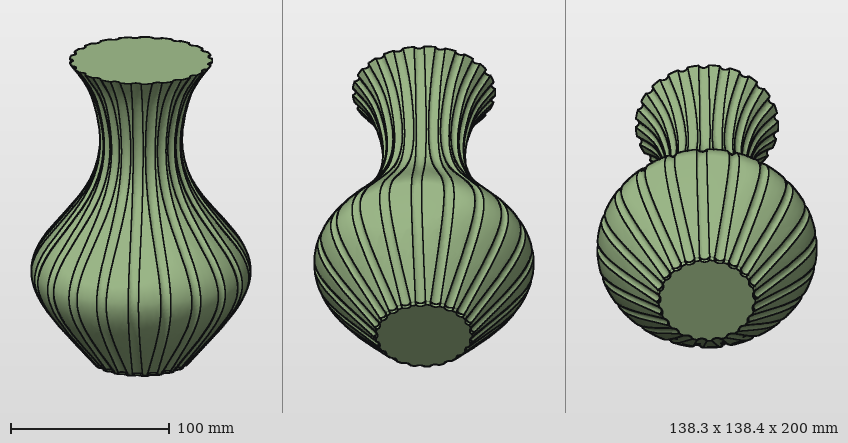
import cadquery as cq
import math

height = 200.0
foot_height = 1.8

base_radius = 30.5
wall_lean = math.radians(39.5)
rim_lean = math.radians(38.0)
foot_radius = base_radius + foot_height * math.tan(wall_lean)
lower_belly_radius = 55.0
lower_belly_height = 29.5
belly_radius = 69.2
belly_height = 59.2
shoulder_radius = 45.2
shoulder_height = 100.0
lower_neck_radius = 31.2
lower_neck_height = 122.0
neck_radius = 26.0
neck_height = 148.0
upper_neck_radius = 30.5
upper_neck_height = 174.0
rim_radius = 45.0

groove_count = 21
groove_radius = 4.2
groove_depth = 1.5
groove_overrun = 6.0
foot_groove_lean = math.radians(22.0)
foot_groove_depth = groove_depth * math.cos(foot_groove_lean) / math.cos(wall_lean)


def lean_direction(lean):
    return (math.sin(lean), math.cos(lean))


def draw_wall(outline):
    """Continue an XZ outline from its current point, at or below the foot's top, up to the rim."""
    stations = [
        (lower_belly_radius, lower_belly_height),
        (belly_radius, belly_height),
        (shoulder_radius, shoulder_height),
        (lower_neck_radius, lower_neck_height),
        (neck_radius, neck_height),
        (upper_neck_radius, upper_neck_height),
        (rim_radius, height),
    ]
    end_directions = [lean_direction(wall_lean), lean_direction(rim_lean)]
    return outline.spline(stations, tangents=end_directions, includeCurrent=True)


def groove_section(radius, level, lean, depth):
    """Circle square to a groove that starts at the given point of the wall."""
    across, along = lean_direction(lean)
    axis_offset = groove_radius - depth
    origin = (radius + axis_offset * along, 0, level - axis_offset * across)
    plane = cq.Plane(origin=origin, xDir=(0, 1, 0), normal=(across, 0, along))
    return cq.Workplane(plane).circle(groove_radius)


def cut_grooves(body, cutter):
    """Cut equally spaced copies of one groove, the first on the +X side."""
    step = 360 / groove_count
    cutters = [cutter.rotate((0, 0, 0), (0, 0, 1), index * step).val() for index in range(groove_count)]
    return cq.Workplane(body.val().cut(*cutters))


def make_foot():
    outline = (
        cq.Workplane("XZ")
        .lineTo(base_radius, 0)
        .lineTo(foot_radius, foot_height)
        .lineTo(0, foot_height)
        .close()
    )
    solid = outline.revolve(360, (0, 0, 0), (0, 1, 0))
    cutter = groove_section(foot_radius, foot_height, foot_groove_lean, foot_groove_depth)
    return cut_grooves(solid, cutter.extrude(groove_overrun, both=True))


def make_body():
    outline = cq.Workplane("XZ").moveTo(0, foot_height).lineTo(foot_radius, foot_height)
    outline = draw_wall(outline).lineTo(0, height).close()
    solid = outline.revolve(360, (0, 0, 0), (0, 1, 0))

    across, along = lean_direction(wall_lean)
    start_radius = foot_radius - groove_overrun * across
    start_level = foot_height - groove_overrun * along
    path = cq.Workplane("XZ").moveTo(start_radius, start_level)
    cutter = groove_section(start_radius, start_level, wall_lean, groove_depth).sweep(draw_wall(path))
    return cut_grooves(solid, cutter)


result = make_foot().union(make_body(), glue=True)